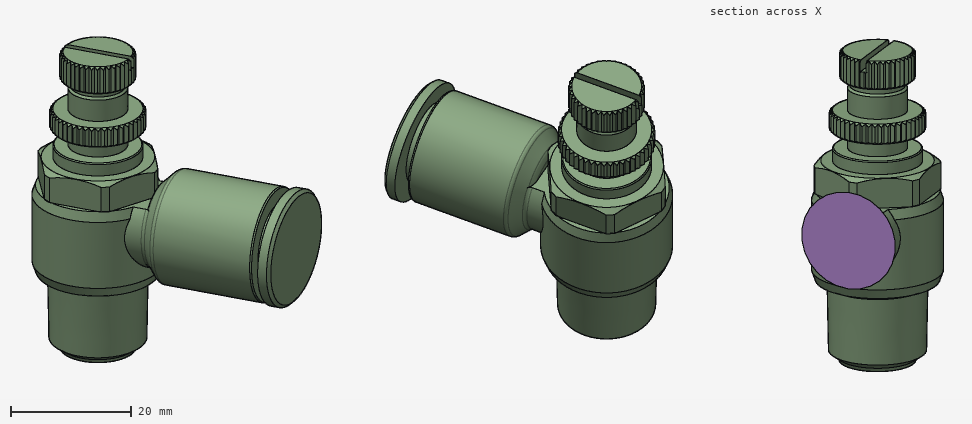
import math
import cadquery as cq


STUB_TIP_RADIUS = 6.4
STUB_LEAD_RADIUS = 6.7
STUB_LEAD_Z = 0.7
THREAD_END_RADIUS = 8.18
THREAD_START_Z = 1.75
THREAD_ROOT_RADIUS = 8.4
THREAD_TOP_Z = 13.3
STUB_FLARE_RADIUS = 8.75

BODY_RADIUS = 11.0
BODY_END_RADIUS = 10.4
BODY_BOTTOM_Z = 14.15
BODY_TOP_Z = 29.7
BODY_CHAMFER_HEIGHT = 1.7

HEX_SIDES = 6
HEX_ACROSS_FLATS = 19.0
HEX_CORNER_RADIUS = 10.58
HEX_TOP_RADIUS = 9.45
HEX_TOP_ANGLE = 30.0
HEX_TOP_Z = 34.9
COLLAR_RADIUS = 7.5
COLLAR_TOP_Z = 37.2
COLLAR_CHAMFER = 0.2

STEM_RADIUS = 5.0
STEM_TOP_Z = 47.65
STEM_NECK_RADIUS = 4.62
STEM_NECK_Z = 48.05
LOCK_RING_BOTTOM_Z = 40.2
LOCK_RING_TOP_Z = 43.75
LOCK_RING_TIP_RADIUS = 8.05
LOCK_RING_ROOT_RADIUS = 7.55
LOCK_RING_TEETH = 46
HEAD_BOTTOM_Z = 49.2
HEAD_TOP_Z = 54.2
HEAD_TIP_RADIUS = 6.35
HEAD_ROOT_RADIUS = 5.85
HEAD_TEETH = 40
KNURL_CHAMFER_HEIGHT = 0.45
KNURL_CHAMFER_DEPTH = 0.55
SLOT_WIDTH = 1.12
SLOT_DEPTH = 2.0

PORT_AXIS_Z = 24.65
PORT_NECK_RADIUS = 7.5
PORT_NECK_FILLET = 1.0
BARREL_RADIUS = 9.86
BARREL_FACE_X = 11.05
BARREL_FACE_FILLET = 2.0
CONE_CORNER_X = 13.83
BARREL_SHOULDER_FILLET = 1.0
BARREL_END_X = 32.0
BARREL_END_CHAMFER_LENGTH = 0.3
BARREL_END_CHAMFER_DEPTH = 0.12
SLEEVE_RADIUS = 7.08
RELEASE_RING_START_X = 33.75
RELEASE_RING_END_X = 35.9
RELEASE_RING_HALF_WIDTH = 11.25
RELEASE_RING_HALF_HEIGHT = 9.8
RELEASE_RING_CHAMFER = 0.55

COS_45 = math.cos(math.radians(45))
COS_22 = math.cos(math.radians(22.5))
SIN_22 = math.sin(math.radians(22.5))
TAN_22 = math.tan(math.radians(22.5))


def turned(profile):
    """Revolve a closed (radius, z) outline about the Z axis."""
    outline = cq.Workplane("XZ").polyline(profile).close()
    return outline.revolve(360, (0, 0, 0), (0, 1, 0))


def make_stub_and_body():
    return turned([
        (0, 0),
        (STUB_TIP_RADIUS, 0),
        (STUB_LEAD_RADIUS, STUB_LEAD_Z),
        (THREAD_END_RADIUS, THREAD_START_Z),
        (THREAD_ROOT_RADIUS, THREAD_TOP_Z),
        (STUB_FLARE_RADIUS, BODY_BOTTOM_Z),
        (BODY_END_RADIUS, BODY_BOTTOM_Z),
        (BODY_RADIUS, BODY_BOTTOM_Z + BODY_CHAMFER_HEIGHT),
        (BODY_RADIUS, BODY_TOP_Z - BODY_CHAMFER_HEIGHT),
        (BODY_END_RADIUS, BODY_TOP_Z),
        (0, BODY_TOP_Z),
    ])


def make_hex():
    """Hexagon with flats facing +-Y, rounded corners and a conical top chamfer."""
    across_corners = HEX_ACROSS_FLATS / math.cos(math.pi / HEX_SIDES)
    hexagon = (
        cq.Workplane("XY", origin=(0, 0, BODY_TOP_Z))
        .polygon(HEX_SIDES, across_corners)
        .extrude(HEX_TOP_Z - BODY_TOP_Z)
    )
    chamfer_drop = (HEX_CORNER_RADIUS - HEX_TOP_RADIUS) * math.tan(math.radians(HEX_TOP_ANGLE))
    envelope = turned([
        (0, BODY_TOP_Z),
        (HEX_CORNER_RADIUS, BODY_TOP_Z),
        (HEX_CORNER_RADIUS, HEX_TOP_Z - chamfer_drop),
        (HEX_TOP_RADIUS, HEX_TOP_Z),
        (0, HEX_TOP_Z),
    ])
    return hexagon.intersect(envelope)


def make_collar_and_stem():
    return turned([
        (0, BODY_TOP_Z),
        (COLLAR_RADIUS, BODY_TOP_Z),
        (COLLAR_RADIUS, COLLAR_TOP_Z - COLLAR_CHAMFER),
        (COLLAR_RADIUS - COLLAR_CHAMFER, COLLAR_TOP_Z),
        (STEM_RADIUS, COLLAR_TOP_Z),
        (STEM_RADIUS, STEM_TOP_Z),
        (STEM_NECK_RADIUS, STEM_NECK_Z),
        (STEM_NECK_RADIUS, HEAD_BOTTOM_Z),
        (0, HEAD_BOTTOM_Z),
    ])


def make_knurled_disc(tip_radius, root_radius, teeth, bottom_z, top_z):
    """Disc with sharp V teeth, chamfered at both rims, with a tooth root on +X."""
    half_pitch = math.pi / teeth
    points = []
    for i in range(teeth):
        root_angle = 2 * i * half_pitch
        tip_angle = root_angle + half_pitch
        points.append((root_radius * math.cos(root_angle), root_radius * math.sin(root_angle)))
        points.append((tip_radius * math.cos(tip_angle), tip_radius * math.sin(tip_angle)))
    toothed = (
        cq.Workplane("XY", origin=(0, 0, bottom_z))
        .polyline(points)
        .close()
        .extrude(top_z - bottom_z)
    )
    rim_radius = tip_radius - KNURL_CHAMFER_DEPTH
    envelope = turned([
        (0, bottom_z),
        (rim_radius, bottom_z),
        (tip_radius, bottom_z + KNURL_CHAMFER_HEIGHT),
        (tip_radius, top_z - KNURL_CHAMFER_HEIGHT),
        (rim_radius, top_z),
        (0, top_z),
    ])
    return toothed.intersect(envelope)


def make_lock_ring():
    return make_knurled_disc(
        LOCK_RING_TIP_RADIUS, LOCK_RING_ROOT_RADIUS, LOCK_RING_TEETH, LOCK_RING_BOTTOM_Z, LOCK_RING_TOP_Z
    )


def make_head():
    """Knurled screw head with a screwdriver slot along X."""
    head = make_knurled_disc(HEAD_TIP_RADIUS, HEAD_ROOT_RADIUS, HEAD_TEETH, HEAD_BOTTOM_Z, HEAD_TOP_Z)
    slot = (
        cq.Workplane("XY", origin=(0, 0, HEAD_TOP_Z - SLOT_DEPTH))
        .rect(4 * HEAD_TIP_RADIUS, SLOT_WIDTH)
        .extrude(2 * SLOT_DEPTH)
    )
    return head.cut(slot)


def port_sketch():
    """Workplane holding the port axis: local x along +X, local y outward from the axis."""
    return cq.Workplane("XZ", origin=(0, 0, PORT_AXIS_Z))


def revolve_about_port(outline):
    return outline.close().revolve(360, (0, 0, 0), (1, 0, 0))


def cone_x(radius):
    """X position where the barrel's 45 degree cone has the given radius."""
    return CONE_CORNER_X - (BARREL_RADIUS - radius)


def make_port_neck():
    """Neck from the body to the barrel, flared into the barrel cone and flattened at the body top."""
    fillet = PORT_NECK_FILLET
    flare_start_x = cone_x(PORT_NECK_RADIUS) - fillet * TAN_22
    flare_center_r = PORT_NECK_RADIUS + fillet
    flare_mid = (flare_start_x + fillet * SIN_22, flare_center_r - fillet * COS_22)
    flare_end = (flare_start_x + fillet * COS_45, flare_center_r - fillet * COS_45)
    neck = revolve_about_port(
        port_sketch()
        .moveTo(0, 0)
        .lineTo(0, PORT_NECK_RADIUS)
        .lineTo(flare_start_x, PORT_NECK_RADIUS)
        .threePointArc(flare_mid, flare_end)
        .lineTo(flare_end[0], 0)
    )
    above_body = (
        cq.Workplane("XY", origin=(0, 0, BODY_TOP_Z))
        .rect(4 * BODY_RADIUS, 4 * BODY_RADIUS)
        .extrude(PORT_NECK_RADIUS + PORT_NECK_FILLET)
    )
    return neck.cut(above_body)


def make_barrel():
    """Barrel with a 45 degree cone rounded at both ends, then the release sleeve."""
    edge = BARREL_FACE_FILLET
    edge_end_x = BARREL_FACE_X + edge * (1 - COS_45)
    edge_end_r = BARREL_RADIUS - (CONE_CORNER_X - edge_end_x)
    edge_start_r = edge_end_r - edge * COS_45
    edge_mid = (BARREL_FACE_X + edge * (1 - COS_22), edge_start_r + edge * SIN_22)

    shoulder = BARREL_SHOULDER_FILLET
    shoulder_end_x = CONE_CORNER_X + shoulder * TAN_22
    shoulder_center_r = BARREL_RADIUS - shoulder
    shoulder_start = (shoulder_end_x - shoulder * COS_45, shoulder_center_r + shoulder * COS_45)
    shoulder_mid = (shoulder_end_x - shoulder * SIN_22, shoulder_center_r + shoulder * COS_22)
    return revolve_about_port(
        port_sketch()
        .moveTo(BARREL_FACE_X, 0)
        .lineTo(BARREL_FACE_X, edge_start_r)
        .threePointArc(edge_mid, (edge_end_x, edge_end_r))
        .lineTo(*shoulder_start)
        .threePointArc(shoulder_mid, (shoulder_end_x, BARREL_RADIUS))
        .lineTo(BARREL_END_X - BARREL_END_CHAMFER_LENGTH, BARREL_RADIUS)
        .lineTo(BARREL_END_X, BARREL_RADIUS - BARREL_END_CHAMFER_DEPTH)
        .lineTo(BARREL_END_X, SLEEVE_RADIUS)
        .lineTo(RELEASE_RING_START_X, SLEEVE_RADIUS)
        .lineTo(RELEASE_RING_START_X, 0)
    )


def make_release_ring():
    """Elliptical push ring, wider in Y than in Z, chamfered on its outer rim."""
    return (
        cq.Workplane("YZ", origin=(RELEASE_RING_START_X, 0, PORT_AXIS_Z))
        .ellipse(RELEASE_RING_HALF_WIDTH, RELEASE_RING_HALF_HEIGHT)
        .extrude(RELEASE_RING_END_X - RELEASE_RING_START_X)
        .faces(">X")
        .chamfer(RELEASE_RING_CHAMFER)
    )


result = (
    make_stub_and_body()
    .union(make_hex())
    .union(make_collar_and_stem())
    .union(make_lock_ring())
    .union(make_head())
    .union(make_port_neck())
    .union(make_barrel())
    .union(make_release_ring())
)